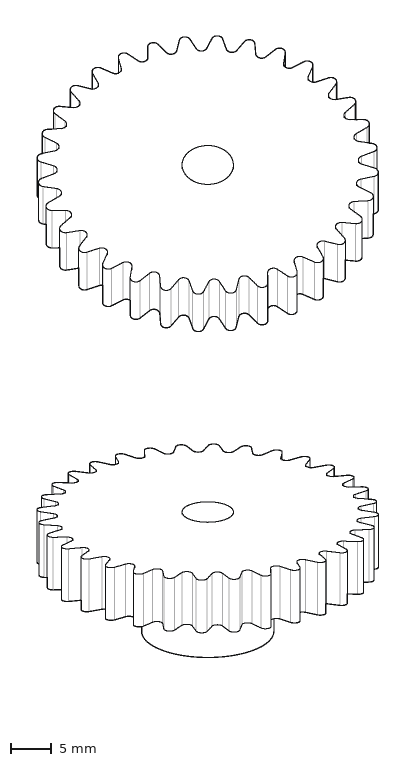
import cadquery as cq
import math

overall_width = 41.95
gear_thickness = 7.1
hub_diameter = 16.35
hub_height = 8.95
bore_diameter = 6.35

set_screw_diameter = 4.2
set_screw_height = 5.0

tooth_count = 32
tip_radius = 0.7
root_radius = 0.7
valley_distance = 18.57

half_pitch = math.pi / tooth_count
total_height = hub_height + gear_thickness

tip_center_distance = (overall_width / 2 - tip_radius) / math.cos(half_pitch)
root_center_distance = valley_distance + root_radius


def polar(distance, angle):
    return distance * math.cos(angle), distance * math.sin(angle)


def flank_ends():
    """Polar (distance, angle) of a flank's root end and tip end, for the space at angle 0."""
    tip_x, tip_y = polar(tip_center_distance, half_pitch)
    rise = tip_x - root_center_distance
    center_spacing = math.hypot(rise, tip_y)
    tangent_turn = math.acos((tip_radius + root_radius) / center_spacing)
    normal = math.atan2(tip_y, rise) + tangent_turn
    normal_x, normal_y = polar(1, normal)
    root_x = root_center_distance + root_radius * normal_x
    root_y = root_radius * normal_y
    end_x = tip_x - tip_radius * normal_x
    end_y = tip_y - tip_radius * normal_y
    root_end = math.hypot(root_x, root_y), math.atan2(root_y, root_x)
    tip_end = math.hypot(end_x, end_y), math.atan2(end_y, end_x)
    return root_end, tip_end


def gear_outline():
    (root_distance, root_angle), (tip_distance, tip_angle) = flank_ends()
    tip_distance_max = tip_center_distance + tip_radius
    outline = cq.Workplane("XY").workplane(offset=hub_height).moveTo(*polar(root_distance, -root_angle))
    for tooth in range(tooth_count):
        space = 2 * half_pitch * tooth
        next_space = space + 2 * half_pitch
        outline = (
            outline.threePointArc(polar(valley_distance, space), polar(root_distance, space + root_angle))
            .lineTo(*polar(tip_distance, space + tip_angle))
            .threePointArc(
                polar(tip_distance_max, space + half_pitch),
                polar(tip_distance, next_space - tip_angle),
            )
            .lineTo(*polar(root_distance, next_space - root_angle))
        )
    return outline.close()


gear = gear_outline().extrude(gear_thickness)
hub = cq.Workplane("XY").circle(hub_diameter / 2).extrude(total_height)
bore = cq.Workplane("XY").circle(bore_diameter / 2).extrude(total_height)

set_screw_hole = (
    cq.Workplane("XZ")
    .center(0, set_screw_height)
    .circle(set_screw_diameter / 2)
    .extrude(hub_diameter / 2)
)

result = gear.union(hub).cut(bore).cut(set_screw_hole)